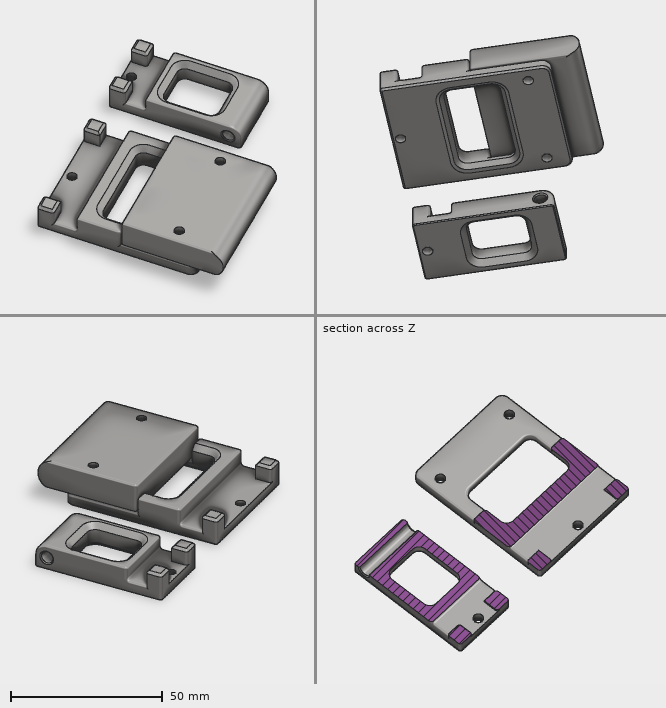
import cadquery as cq

WIDE_WIDTH = 44.0
NARROW_WIDTH = 24.1
TOTAL_DEPTH = 83.0
NARROW_Y = TOTAL_DEPTH - NARROW_WIDTH
WIDE_Z = 0.3
OVERALL_HEIGHT = 14.9

FLOOR_HEIGHT = 4.0
POST_HEIGHT = 10.0
POST_LENGTH = 6.0
POST_WIDTH = 6.0
EDGE_RADIUS = 1.0
POST_CHAMFER = 0.9
SCREW_DIAMETER = 3.4
FRONT_SCREW_X = 3.0
WINDOW_BEVEL = 2.0
WINDOW_RADIUS = 3.0

WIDE_LENGTH = 57.0
WIDE_STEP_X = 14.0
SHELF_X = 30.0
WIDE_FRAME = 4.0
WIDE_WINDOW_END = 41.0
WIDE_CORNER_RADIUS = 3.0
WIDE_BOTTOM_CHAMFER = 0.7

NARROW_LENGTH = 47.5
NARROW_STEP_X = 13.0
NARROW_HEIGHT = 9.0
NARROW_FRAME = 2.0
NARROW_WINDOW_END = 38.9
NARROW_BOTTOM_CHAMFER = 0.3
HINGE_RADIUS = NARROW_HEIGHT / 2
HINGE_HOLE_DIAMETER = 4.2
HINGE_HOLE_CHAMFER = 0.4

CLEARANCE = 0.2
BLOCK_X = SHELF_X + CLEARANCE
BLOCK_END = 67.0
BLOCK_Z = WIDE_Z + FLOOR_HEIGHT + CLEARANCE
BLOCK_END_RADIUS = 5.0
BLOCK_SCREW_X = 49.0
BLOCK_SCREW_INSET = 5.1

TINY = 0.01


def near(value, target):
    return abs(value - target) < TINY


def box(x0, x1, y0, y1, z0, z1):
    """Axis-aligned box between two opposite corners."""
    return cq.Workplane("XY").box(x1 - x0, y1 - y0, z1 - z0, centered=False).translate((x0, y0, z0))


def upright_hole(x, y, diameter):
    """Cutter for a vertical hole through any body."""
    return cq.Workplane("XY").center(x, y).circle(diameter / 2).extrude(OVERALL_HEIGHT)


def pick_edges(body, wanted):
    """Workplane holding the edges whose bounding box satisfies `wanted`."""
    chosen = [edge for edge in body.edges().vals() if wanted(edge.BoundingBox())]
    return body.newObject(chosen)


def window_cutter(x0, x1, width, frame, top):
    """Rounded rectangular window from x0 to x1 at its rims, bevelled at z = 0 and at `top`."""
    rim_size = (x1 - x0, width - 2 * frame)
    wall_size = [size - 2 * WINDOW_BEVEL for size in rim_size]
    plane = cq.Workplane("XY").center((x0 + x1) / 2, width / 2)
    wall = plane.rect(*wall_size).extrude(top).edges("|Z").fillet(WINDOW_RADIUS)
    rim_outline = cq.Sketch().rect(*rim_size).vertices().fillet(WINDOW_RADIUS + WINDOW_BEVEL)
    lower_rim = plane.placeSketch(rim_outline).extrude(WINDOW_BEVEL, taper=45)
    upper_rim = plane.workplane(offset=top).placeSketch(rim_outline).extrude(-WINDOW_BEVEL, taper=45)
    return wall.union(lower_rim).union(upper_rim)


def cut_post_gap(body, width):
    """Remove the front wall between the two corner posts, down to the floor."""
    return body.cut(box(0, POST_LENGTH, POST_WIDTH, width - POST_WIDTH, FLOOR_HEIGHT, POST_HEIGHT))


def is_side_edge(b, width):
    """Outline of the two long sides, except along the underside and over the posts."""
    on_side = any(near(b.ymin, y) and near(b.ymax, y) for y in (0, width))
    over_post = near(b.zmin, POST_HEIGHT) and b.xmax < POST_LENGTH + TINY
    return on_side and b.zmax > TINY and not over_post


def is_front_upright(b):
    """Vertical edges of the posts on the front face."""
    return near(b.xmax, 0) and b.zmax - b.zmin > TINY


def is_cross_edge(b, x):
    """Foot and top edges of a wall at x that runs across the latch."""
    return near(b.xmin, x) and near(b.xmax, x) and b.ymax - b.ymin > POST_WIDTH + TINY


def chamfer_posts_and_underside(body, bottom_chamfer):
    post_tops = pick_edges(body, lambda b: near(b.zmin, POST_HEIGHT) and b.xmax < POST_LENGTH + TINY)
    return post_tops.chamfer(POST_CHAMFER).faces("<Z").edges().chamfer(bottom_chamfer)


def hinge_hole_cutter():
    """Hole along Y through the rounded rear end, chamfered at both mouths."""
    mouth_radius = HINGE_HOLE_DIAMETER / 2 + HINGE_HOLE_CHAMFER
    start = cq.Workplane("XZ").center(NARROW_LENGTH - HINGE_RADIUS, HINGE_RADIUS)
    cutter = start.circle(HINGE_HOLE_DIAMETER / 2).extrude(-NARROW_WIDTH)
    front_mouth = start.circle(mouth_radius).extrude(-HINGE_HOLE_CHAMFER, taper=45)
    return cutter.union(front_mouth).union(front_mouth.mirror("XZ").translate((0, NARROW_WIDTH, 0)))


def make_narrow_latch():
    outline = [
        (0, 0),
        (NARROW_LENGTH, 0),
        (NARROW_LENGTH, NARROW_HEIGHT),
        (NARROW_STEP_X, NARROW_HEIGHT),
        (NARROW_STEP_X, FLOOR_HEIGHT),
        (POST_LENGTH, FLOOR_HEIGHT),
        (POST_LENGTH, POST_HEIGHT),
        (0, POST_HEIGHT),
    ]
    latch = cq.Workplane("XZ").polyline(outline).close().extrude(-NARROW_WIDTH)
    latch = pick_edges(latch, lambda b: near(b.xmin, NARROW_LENGTH) and near(b.zmin, NARROW_HEIGHT))
    latch = cut_post_gap(latch.fillet(HINGE_RADIUS), NARROW_WIDTH)

    def is_rear_post_corner(b):
        """The inner upright of the post at high Y, rounded on this one post only."""
        return near(b.xmin, POST_LENGTH) and near(b.ymin, NARROW_WIDTH - POST_WIDTH) and near(b.ymin, b.ymax)

    def is_rounded(b):
        on_posts = is_front_upright(b) or is_rear_post_corner(b)
        return on_posts or is_side_edge(b, NARROW_WIDTH) or is_cross_edge(b, NARROW_STEP_X)

    latch = pick_edges(latch, is_rounded).fillet(EDGE_RADIUS)
    latch = chamfer_posts_and_underside(latch, NARROW_BOTTOM_CHAMFER)

    window_start = NARROW_STEP_X + NARROW_FRAME
    window = window_cutter(window_start, NARROW_WINDOW_END, NARROW_WIDTH, NARROW_FRAME, NARROW_HEIGHT)
    latch = latch.cut(window)
    latch = latch.cut(upright_hole(FRONT_SCREW_X, NARROW_WIDTH / 2, SCREW_DIAMETER))
    latch = latch.cut(hinge_hole_cutter())
    return latch.translate((0, NARROW_Y, 0))


def cut_block_screws(body):
    """Two screw holes shared by the block and the shelf below it."""
    for y in (BLOCK_SCREW_INSET, WIDE_WIDTH - BLOCK_SCREW_INSET):
        body = body.cut(upright_hole(BLOCK_SCREW_X, y, SCREW_DIAMETER))
    return body


def make_wide_base():
    outline = [
        (0, 0),
        (WIDE_LENGTH, 0),
        (WIDE_LENGTH, FLOOR_HEIGHT),
        (SHELF_X, FLOOR_HEIGHT),
        (SHELF_X, POST_HEIGHT),
        (WIDE_STEP_X, POST_HEIGHT),
        (WIDE_STEP_X, FLOOR_HEIGHT),
        (POST_LENGTH, FLOOR_HEIGHT),
        (POST_LENGTH, POST_HEIGHT),
        (0, POST_HEIGHT),
    ]
    base = cq.Workplane("XZ").polyline(outline).close().extrude(-WIDE_WIDTH)
    base = base.edges(">X and |Z").fillet(WIDE_CORNER_RADIUS)
    base = cut_post_gap(base, WIDE_WIDTH)
    window_start = WIDE_STEP_X + WIDE_FRAME
    base = base.cut(window_cutter(window_start, WIDE_WINDOW_END, WIDE_WIDTH, WIDE_FRAME, POST_HEIGHT))

    def is_shelf_end(b):
        """Upper edge of the shelf's rear end, with its round corners."""
        return near(b.zmin, FLOOR_HEIGHT) and b.xmin > WIDE_LENGTH - WIDE_CORNER_RADIUS - TINY

    def is_frame_end(b):
        """Top edges of the frame's rear wall and the edges where the window breaks through it."""
        return near(b.xmin, b.xmax) and near(b.xmax, SHELF_X) and b.zmax > FLOOR_HEIGHT + TINY

    def is_shelf_window(b):
        """Rim of the window where it opens through the rear shelf."""
        on_shelf = near(b.zmin, FLOOR_HEIGHT) and near(b.zmax, FLOOR_HEIGHT)
        within_sides = b.ymin > TINY and b.ymax < WIDE_WIDTH - TINY
        behind_frame = b.xmax > SHELF_X + TINY and b.xmax < WIDE_LENGTH - TINY
        return on_shelf and within_sides and behind_frame

    def is_side_profile(b):
        return is_side_edge(b, WIDE_WIDTH) or is_front_upright(b)

    def is_rounded(b):
        on_frame = is_cross_edge(b, WIDE_STEP_X) or is_frame_end(b)
        on_shelf = is_shelf_end(b) or is_shelf_window(b)
        return is_side_profile(b) or on_frame or on_shelf

    base = pick_edges(base, is_rounded).fillet(EDGE_RADIUS)
    base = chamfer_posts_and_underside(base, WIDE_BOTTOM_CHAMFER)

    base = base.cut(upright_hole(FRONT_SCREW_X, WIDE_WIDTH / 2, SCREW_DIAMETER))
    base = cut_block_screws(base)
    return base.translate((0, 0, WIDE_Z))


def make_block():
    blank = box(BLOCK_X, BLOCK_END, 0, WIDE_WIDTH, BLOCK_Z, OVERALL_HEIGHT)
    soft_edged = blank.edges("|X or <X").fillet(EDGE_RADIUS)
    round_ended = blank.edges("|Y and >X").fillet(BLOCK_END_RADIUS)
    return cut_block_screws(soft_edged.intersect(round_ended))


narrow_latch = make_narrow_latch().solids()
wide_base = make_wide_base().solids()
block = make_block().solids()

result = cq.Compound.makeCompound([narrow_latch.val(), wide_base.val(), block.val()])